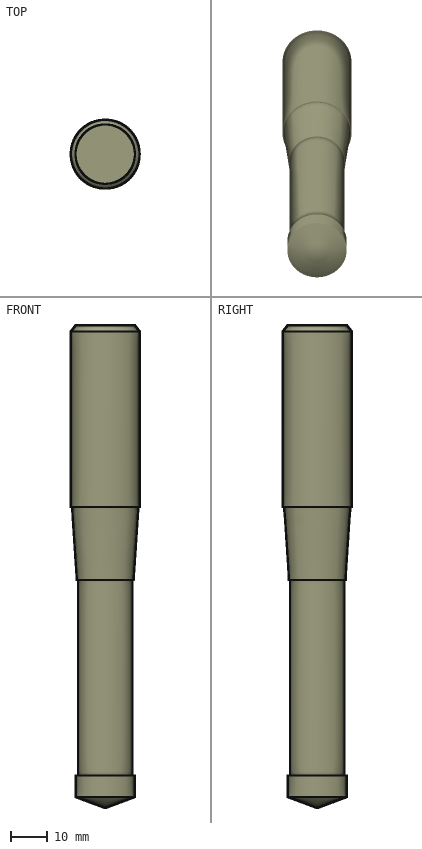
import cadquery as cq

total_length = 133.0
shank_length = 50.1
taper_length = 20.1
head_height = 6.0
point_height = 3.0

shank_diameter = 19.0
taper_top_diameter = 18.3
taper_bottom_diameter = 15.7
neck_diameter = 15.0
head_diameter = 16.4

chamfer_width = 1.3
chamfer_height = 1.7

head_top = point_height + head_height
taper_top = total_length - shank_length
taper_bottom = taper_top - taper_length


def revolve_profile(points):
    """Revolve a closed (radius, Z) profile about the Z axis."""
    return cq.Workplane("XZ").polyline(points).close().revolve(360, (0, 0), (0, 1))


def make_holder():
    """Chamfered shank, tapered shoulder and slender neck in one turned body."""
    shank_radius = shank_diameter / 2
    neck_radius = neck_diameter / 2
    return revolve_profile([
        (0, head_top),
        (neck_radius, head_top),
        (neck_radius, taper_bottom),
        (taper_bottom_diameter / 2, taper_bottom),
        (taper_top_diameter / 2, taper_top),
        (shank_radius, taper_top),
        (shank_radius, total_length - chamfer_height),
        (shank_radius - chamfer_width, total_length),
        (0, total_length),
    ])


def make_tip():
    """Cylindrical head with a conical point, seated on the end of the neck."""
    head_radius = head_diameter / 2
    return revolve_profile([
        (0, 0),
        (head_radius, point_height),
        (head_radius, head_top),
        (0, head_top),
    ])


holder = make_holder()
tip = make_tip()

result = cq.Compound.makeCompound([holder.val(), tip.val()])